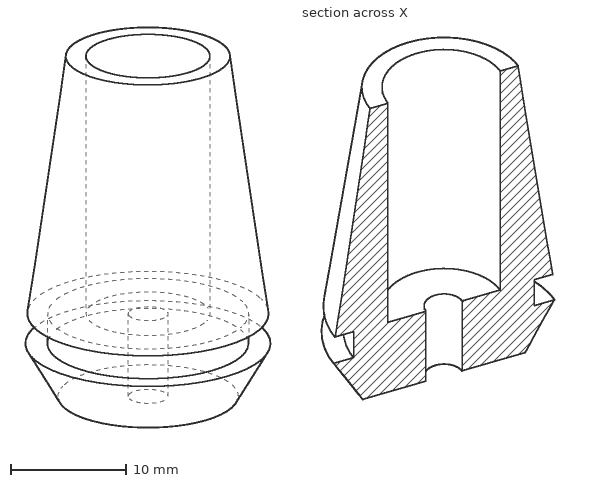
import cadquery as cq
import math

total_height = 31.5
flange_diameter = 21.3
flange_height = 4.88
flange_angle = 30.0
groove_diameter = 17.45
groove_width = 2.77
taper_top_diameter = 14.27
taper_angle = 8.0
bore_diameter = 10.77
through_hole_diameter = 3.45

groove_top = flange_height + groove_width
taper_length = total_height - groove_top
bore_depth = taper_length

flange_radius = flange_diameter / 2
nose_radius = flange_radius - flange_height * math.tan(math.radians(flange_angle))
groove_radius = groove_diameter / 2
taper_top_radius = taper_top_diameter / 2
taper_base_radius = taper_top_radius + taper_length * math.tan(math.radians(taper_angle))


def make_body():
    """Revolve the outer half profile: nose cone, groove and long taper."""
    profile = [
        (0, 0),
        (nose_radius, 0),
        (flange_radius, flange_height),
        (groove_radius, flange_height),
        (groove_radius, groove_top),
        (taper_base_radius, groove_top),
        (taper_top_radius, total_height),
        (0, total_height),
    ]
    return cq.Workplane("XZ").polyline(profile).close().revolve(360, (0, 0), (0, 1))


def cut_stepped_bore(body):
    """Cut the wide blind bore from the top and the small hole through its floor."""
    return body.faces(">Z").workplane().cboreHole(through_hole_diameter, bore_diameter, bore_depth)


result = cut_stepped_bore(make_body())